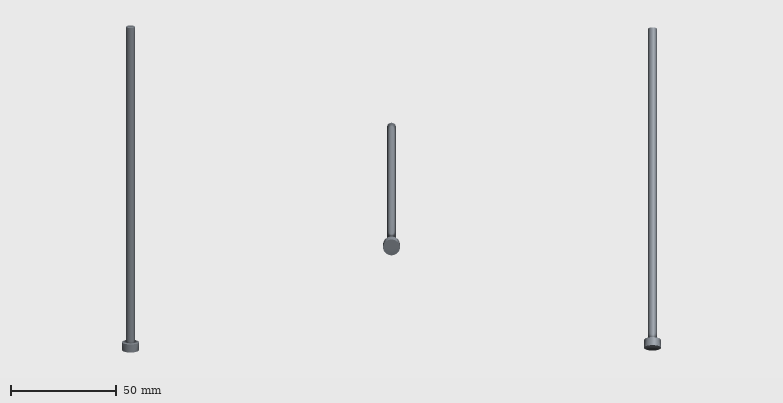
import cadquery as cq

total_length = 160.0
head_diameter = 8.0
head_height = 4.0
shaft_diameter = 4.2

head = cq.Workplane("XY").circle(head_diameter / 2).extrude(head_height)

shaft = cq.Workplane("XY").circle(shaft_diameter / 2).extrude(total_length)

result = head.union(shaft)